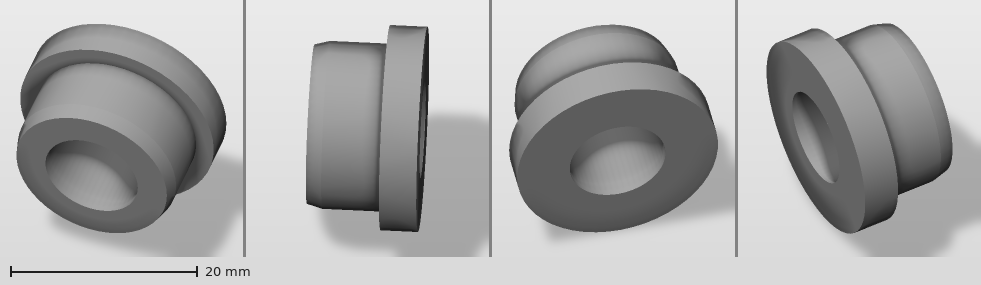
import cadquery as cq
import math

flange_diameter = 22.0
flange_thickness = 4.0
total_length = 12.0
body_diameter = 18.0
bore_diameter = 10.5
taper_length = 1.67
taper_angle = 15.0

flange_radius = flange_diameter / 2
body_radius = body_diameter / 2
bore_radius = bore_diameter / 2
nose_radius = body_radius - taper_length * math.tan(math.radians(taper_angle))
flange_start = total_length - flange_thickness

half_section = [
    (bore_radius, 0),
    (nose_radius, 0),
    (body_radius, taper_length),
    (body_radius, flange_start),
    (flange_radius, flange_start),
    (flange_radius, total_length),
    (bore_radius, total_length),
]

result = (
    cq.Workplane("XY")
    .polyline(half_section)
    .close()
    .revolve(360, (0, 0, 0), (0, 1, 0))
)